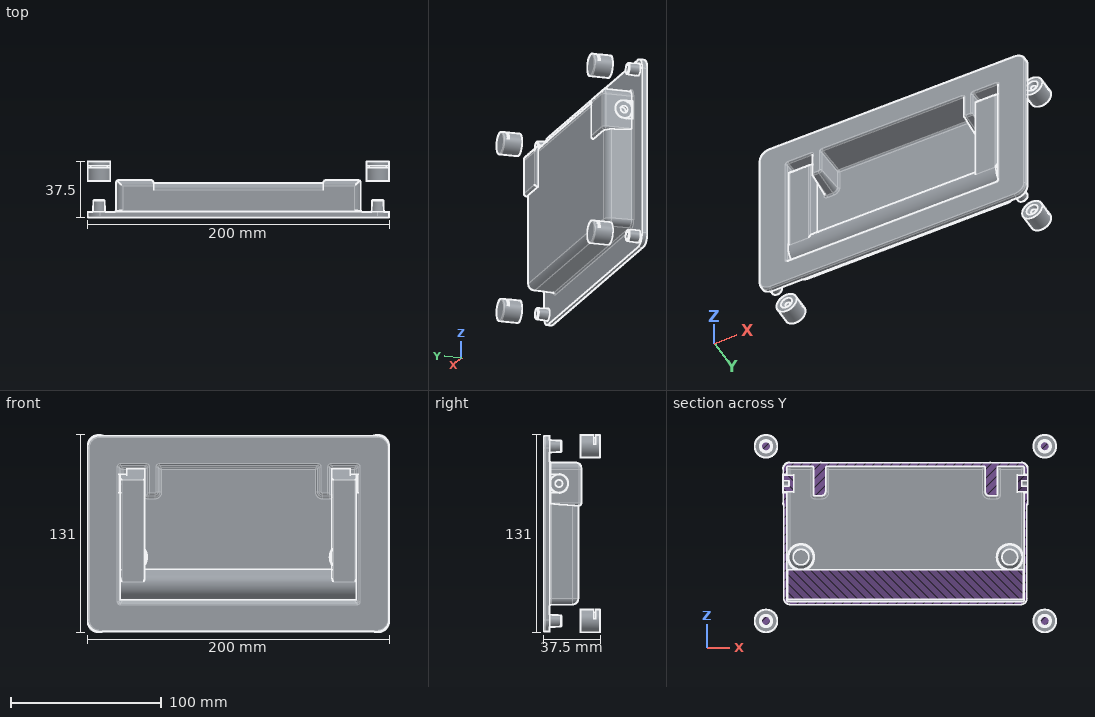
import cadquery as cq

plate_width = 200.0
plate_height = 130.0
height_over_nuts = 131.0
plate_thickness = 4.0
plate_corner_radius = 8.0
plate_edge_fillet = 1.0

tray_half_width = 81.2
tray_half_height = 47.2
tray_back = 23.2
tray_side_inset = 1.0
tray_corner_radius = 4.5
tray_back_fillet = 4.5
tray_root_fillet = 1.2

ear_back = 25.2
ear_inner_x = 56.2
ear_bottom_z = 18.5
ear_back_fillet = 2.0
ear_top_fillet = 4.0

pocket_half_width = 79.5
pocket_top_z = 45.5
pocket_bottom_z = -46.0
pocket_floor = 21.5
pocket_draft = 4.0
pocket_rim_fillet = 1.2
pocket_floor_fillet = 1.2
pocket_corner_radius = 1.0

tongue_inner_x = 53.5
tongue_outer_x = 60.2
tongue_bottom_z = 25.8
tongue_corner_radius = 2.0

pivot_y = 10.2
pivot_z = 33.2
bar_radius = 10.0
bar_z = -33.8
arm_inner_x = 62.0
arm_outer_x = 78.2
arm_front = pivot_y - bar_radius + 0.2
arm_back = 10.8
arm_top_z = 43.0
arm_bevel_z = 35.8
arm_edge_fillet = 1.0

pin_radius = 6.0
pin_clearance = 0.2
pin_slot_radius = pin_radius + pin_clearance
pin_bore_radius = 2.5
pin_bore_depth = 4.0
pin_inner_x = 74.0

stop_x = 69.2
stop_z = -15.5
stop_foot_radius = 8.8
stop_base_radius = 8.2
stop_tip_radius = 5.2
stop_foot_height = 0.5
stop_front = 14.8

nut_radius = 7.5
nut_x = plate_width / 2 - nut_radius
nut_z = height_over_nuts / 2 - nut_radius
nut_front = 24.5
nut_back = 37.5
nut_back_fillet = 0.5
nut_socket_rim_radius = 4.2
nut_socket_floor_radius = 1.8
nut_socket_depth = 1.8
groove_front = 33.5
groove_back = 34.5
groove_depth = 1.8
groove_start_z = 1.5
stud_base_radius = 4.2
stud_tip_radius = 3.8
stud_tip = 12.0
stud_tip_chamfer = 0.5


def block(x0, x1, y0, y1, z0, z1):
    """Box between two corner points."""
    return cq.Workplane("XY").box(x1 - x0, y1 - y0, z1 - z0, centered=False).translate((x0, y0, z0))


def facing_back(y):
    """Workplane at depth y whose local axes are X and -Z and whose normal is +Y."""
    return cq.Workplane(cq.Plane(origin=(0, y, 0), xDir=(1, 0, 0), normal=(0, 1, 0)))


def disc(x, z, y0, y1, radius, tip_radius=None):
    """Cylinder or cone frustum along Y, from y0 to y1."""
    base = cq.Vector(x, y0, z)
    along = cq.Vector(0, 1, 0)
    if tip_radius is None:
        return cq.Workplane(cq.Solid.makeCylinder(radius, y1 - y0, base, along))
    return cq.Workplane(cq.Solid.makeCone(radius, tip_radius, y1 - y0, base, along))


def mirrored(body):
    """The same body on the other side of the YZ plane."""
    return body.mirror("YZ")


def make_plate():
    plate = block(-plate_width / 2, plate_width / 2, 0, plate_thickness, -plate_height / 2, plate_height / 2)
    plate = plate.edges("|Y").fillet(plate_corner_radius)
    return plate.faces("<Y").edges().fillet(plate_edge_fillet)


def make_tray():
    back_half_width = tray_half_width - tray_side_inset
    tray = (
        cq.Workplane("XY")
        .polyline(
            [
                (-tray_half_width, plate_thickness),
                (tray_half_width, plate_thickness),
                (back_half_width, tray_back),
                (-back_half_width, tray_back),
            ]
        )
        .close()
        .extrude(tray_half_height, both=True)
    )
    tray = tray.edges("not(|X or |Z)").fillet(tray_corner_radius)
    return tray.faces(">Y").edges().fillet(tray_back_fillet)


def make_ear():
    """Block with a rounded outline, its back edges rounded more along the top than elsewhere."""
    block_size = (ear_inner_x, tray_half_width, plate_thickness, ear_back, ear_bottom_z, tray_half_height)
    ear = block(*block_size)
    ear = ear.edges("|Y and >X and >Z").fillet(tray_corner_radius)
    ear = ear.edges("|Y and >X and <Z").fillet(ear_back_fillet)
    ear = ear.faces(">Y").edges().fillet(ear_back_fillet)
    top_rounding = block(*block_size).edges(">Y and >Z").fillet(ear_top_fillet)
    return ear.intersect(top_rounding)


def make_tongue():
    """Part of the pocket outline that stays solid, widening towards the pocket floor."""
    top = tray_half_height + tongue_corner_radius
    tongue = (
        facing_back(0)
        .moveTo(tongue_outer_x, -top)
        .lineTo(tongue_outer_x, -tongue_bottom_z)
        .lineTo(tongue_inner_x + tongue_corner_radius, -tongue_bottom_z)
        .radiusArc((tongue_inner_x, -tongue_bottom_z - tongue_corner_radius), -tongue_corner_radius)
        .lineTo(tongue_inner_x, -top)
        .close()
    )
    return tongue.extrude(pocket_floor, taper=-pocket_draft)


def make_pocket():
    pocket_height = pocket_top_z - pocket_bottom_z
    middle_z = (pocket_top_z + pocket_bottom_z) / 2
    pocket = facing_back(0).center(0, -middle_z).rect(2 * pocket_half_width, pocket_height)
    pocket = pocket.extrude(pocket_floor, taper=pocket_draft)
    tongue = make_tongue()
    pocket = pocket.cut(tongue).cut(mirrored(tongue))
    corners = pocket.edges("not(|X or |Z)").filter(lambda edge: abs(edge.Center().z) > tongue_bottom_z + 2)
    pocket = corners.fillet(pocket_corner_radius)
    return pocket.faces(">Y").edges().fillet(pocket_floor_fillet)


def pivot_cylinder(x0, x1, radius):
    """Cylinder along X on the pivot axis."""
    return cq.Workplane("YZ", origin=(x0, 0, 0)).center(pivot_y, pivot_z).circle(radius).extrude(x1 - x0)


def make_pin_slot():
    """U-shaped slot through the ear wall, from the pivot to the back of the plate."""
    z0, z1 = pivot_z - pin_slot_radius, pivot_z + pin_slot_radius
    straight = block(arm_outer_x, tray_half_width, plate_thickness, pivot_y, z0, z1)
    return straight.union(pivot_cylinder(arm_outer_x, tray_half_width, pin_slot_radius))


def make_stop():
    foot_top = pocket_floor - stop_foot_height
    foot = disc(stop_x, stop_z, foot_top, pocket_floor, stop_base_radius, stop_foot_radius)
    post = disc(stop_x, stop_z, stop_front, foot_top, stop_tip_radius, stop_base_radius)
    return foot.union(post)


def make_stud(x, z):
    stud = disc(x, z, plate_thickness, stud_tip, stud_base_radius, stud_tip_radius)
    return stud.faces(">Y").chamfer(stud_tip_chamfer)


def around_tray(y):
    """Selects the edges at depth y that lie within the tray outline."""
    x, z, margin = tray_half_width + 0.2, tray_half_height + 0.2, 0.02
    return cq.selectors.BoxSelector((-x, y - margin, -z), (x, y + margin, z), boundingbox=True)


def make_housing():
    ear = make_ear()
    housing = make_plate().union(make_tray())
    root = housing.edges(around_tray(plate_thickness))
    housing = root.fillet(tray_root_fillet)
    housing = housing.union(ear).union(mirrored(ear)).cut(make_pocket())
    rim = housing.edges(around_tray(0))
    housing = rim.fillet(pocket_rim_fillet)
    slot = make_pin_slot()
    stop = make_stop()
    housing = housing.cut(slot).cut(mirrored(slot)).union(stop).union(mirrored(stop))
    for x, z in corner_places:
        housing = housing.union(make_stud(x, z))
    return housing


def make_arm():
    bevel_depth = arm_top_z - arm_bevel_z
    arm = (
        cq.Workplane("YZ", origin=(arm_inner_x, 0, 0))
        .polyline(
            [
                (arm_front, bar_z),
                (arm_back, bar_z),
                (arm_back, arm_top_z),
                (arm_front + bevel_depth, arm_top_z),
                (arm_front, arm_bevel_z),
            ]
        )
        .close()
        .extrude(arm_outer_x - arm_inner_x)
    )
    arm = arm.faces("<Y").edges("not <Z").fillet(arm_edge_fillet)
    z0, y0, y1 = pivot_z, pivot_y - pin_slot_radius, pivot_y + pin_slot_radius
    recess = pivot_cylinder(pin_inner_x, arm_outer_x, pin_slot_radius).union(
        block(pin_inner_x, arm_outer_x, y0, y1, z0, arm_top_z)
    ).clean()
    return arm.cut(recess)


def make_handle():
    bar_start = cq.Vector(-arm_outer_x, pivot_y, bar_z)
    bar = cq.Workplane(cq.Solid.makeCylinder(bar_radius, 2 * arm_outer_x, bar_start, cq.Vector(1, 0, 0)))
    arm = make_arm()
    return bar.union(arm).union(mirrored(arm))


def make_pin():
    pin = pivot_cylinder(pin_inner_x, tray_half_width, pin_radius)
    return pin.cut(pivot_cylinder(tray_half_width - pin_bore_depth, tray_half_width, pin_bore_radius))


def make_nut(x, z):
    nut = disc(x, z, nut_front, nut_back, nut_radius).faces(">Y").edges().fillet(nut_back_fillet)
    socket = disc(
        x, z, nut_front, nut_front + nut_socket_depth, nut_socket_rim_radius, nut_socket_floor_radius
    )
    ring = disc(x, z, groove_front, groove_back, nut_radius).cut(
        disc(x, z, groove_front, groove_back, nut_radius - groove_depth)
    )
    upper_part = block(
        x - nut_radius, x + nut_radius, groove_front, groove_back, z + groove_start_z, z + nut_radius
    )
    return nut.cut(socket).cut(ring.intersect(upper_part))


corner_places = [(x, z) for x in (-nut_x, nut_x) for z in (-nut_z, nut_z)]

housing = make_housing()
handle = make_handle()
pin = make_pin()
pins = [pin, mirrored(pin)]
nuts = [make_nut(x, z) for x, z in corner_places]

result = cq.Compound.makeCompound([body.val() for body in [housing, handle, *pins, *nuts]])